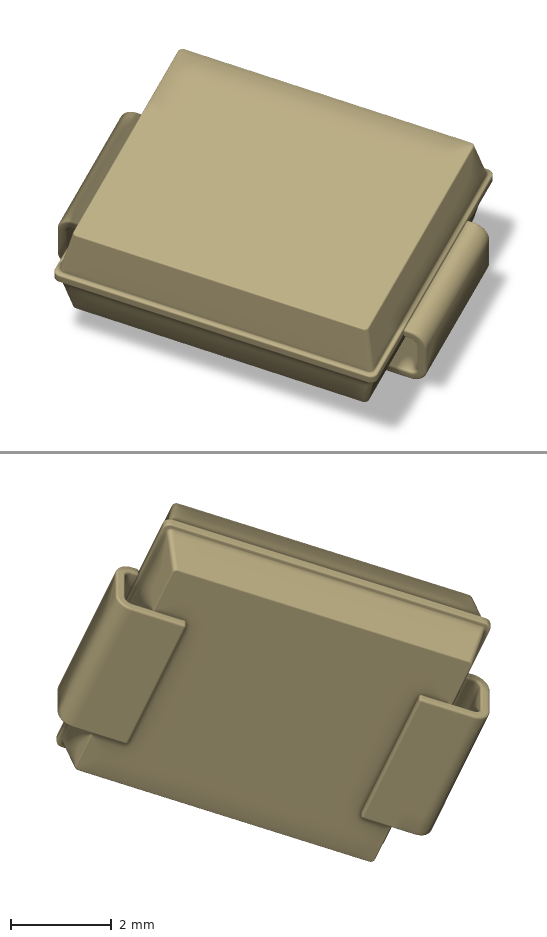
import cadquery as cq
import math

OVERALL_LENGTH = 8.0
OVERALL_HEIGHT = 2.4

STRIP_THICKNESS = 0.2
LEAD_WIDTH = 3.2
PAD_LENGTH = 1.5
BEND_OUTER_RADIUS = 0.35
BEND_INNER_RADIUS = BEND_OUTER_RADIUS - STRIP_THICKNESS
LEAD_EDGE_RADIUS = 0.05

FLANGE_LENGTH = 7.0
FLANGE_WIDTH = 6.0
FLANGE_THICKNESS = STRIP_THICKNESS
FLANGE_CORNER_RADIUS = 0.15
BASE_LENGTH = 6.8
BASE_WIDTH = BASE_LENGTH - (FLANGE_LENGTH - FLANGE_WIDTH)
DRAFT_RUN = 0.2
SIDE_EDGE_RADIUS = 0.1
SMALL_RADIUS = 0.03

HOUSING_BOTTOM = STRIP_THICKNESS
PARTING_HEIGHT = (HOUSING_BOTTOM + OVERALL_HEIGHT) / 2
FLANGE_BOTTOM = PARTING_HEIGHT - FLANGE_THICKNESS / 2
FLANGE_TOP = PARTING_HEIGHT + FLANGE_THICKNESS / 2
HALF_HEIGHT = OVERALL_HEIGHT - FLANGE_TOP
DRAFT_ANGLE = math.degrees(math.atan(DRAFT_RUN / HALF_HEIGHT))

SELECTION_MARGIN = 0.01


def box_around(x_range, y_range, z_range):
    """Selector for edges whose centers lie in the given ranges."""
    low, high = zip(x_range, y_range, z_range)
    return cq.selectors.BoxSelector(
        tuple(value - SELECTION_MARGIN for value in low),
        tuple(value + SELECTION_MARGIN for value in high),
    )


def make_flange():
    return (
        cq.Workplane("XY", origin=(0, 0, FLANGE_BOTTOM))
        .rect(FLANGE_LENGTH, FLANGE_WIDTH)
        .extrude(FLANGE_THICKNESS)
        .edges("|Z")
        .fillet(FLANGE_CORNER_RADIUS)
        .faces("<Z or >Z")
        .edges()
        .fillet(SMALL_RADIUS)
    )


def make_upper_half():
    """Tapered block standing on the flange, with rounded side edges and rim."""
    return (
        cq.Workplane("XY", origin=(0, 0, FLANGE_TOP))
        .rect(BASE_LENGTH, BASE_WIDTH)
        .extrude(HALF_HEIGHT, taper=DRAFT_ANGLE)
        .edges("not #Z")
        .fillet(SIDE_EDGE_RADIUS)
        .faces(">Z")
        .edges()
        .fillet(SMALL_RADIUS)
    )


def round_root(body, height):
    """Round the inner corner where a tapered half meets the flange at this height."""
    root = box_around(
        (-BASE_LENGTH / 2, BASE_LENGTH / 2),
        (-BASE_WIDTH / 2, BASE_WIDTH / 2),
        (height, height),
    )
    return body.edges(root).fillet(SMALL_RADIUS)


def make_housing():
    upper_half = make_upper_half()
    lower_half = upper_half.mirror("XY", (0, 0, PARTING_HEIGHT))
    body = make_flange().union(upper_half).union(lower_half)
    for height in (FLANGE_BOTTOM, FLANGE_TOP):
        body = round_root(body, height)
    return body


def make_lead():
    """Lead on the -X side, with all its outer edges rounded."""
    outer_x = -OVERALL_LENGTH / 2
    inner_x = outer_x + STRIP_THICKNESS
    bend_x = outer_x + BEND_OUTER_RADIUS
    pad_end_x = outer_x + PAD_LENGTH
    flange_x = -FLANGE_LENGTH / 2
    strip = (
        cq.Workplane("XZ", origin=(0, LEAD_WIDTH / 2, 0))
        .moveTo(flange_x, FLANGE_TOP)
        .lineTo(bend_x, FLANGE_TOP)
        .radiusArc((outer_x, FLANGE_TOP - BEND_OUTER_RADIUS), -BEND_OUTER_RADIUS)
        .lineTo(outer_x, BEND_OUTER_RADIUS)
        .radiusArc((bend_x, 0), -BEND_OUTER_RADIUS)
        .lineTo(pad_end_x, 0)
        .lineTo(pad_end_x, STRIP_THICKNESS)
        .lineTo(bend_x, STRIP_THICKNESS)
        .radiusArc((inner_x, BEND_OUTER_RADIUS), BEND_INNER_RADIUS)
        .lineTo(inner_x, FLANGE_TOP - BEND_OUTER_RADIUS)
        .radiusArc((bend_x, FLANGE_BOTTOM), BEND_INNER_RADIUS)
        .lineTo(flange_x, FLANGE_BOTTOM)
        .close()
        .extrude(LEAD_WIDTH)
    )
    sides_and_pad_end = strip.faces("<Y or >Y or >X").edges()
    flange_end = box_around(
        (flange_x, flange_x),
        (-LEAD_WIDTH / 2, LEAD_WIDTH / 2),
        (FLANGE_BOTTOM, FLANGE_TOP),
    )
    return sides_and_pad_end.add(strip.edges(flange_end)).fillet(LEAD_EDGE_RADIUS)


housing = make_housing()
leads = [make_lead().rotate((0, 0, 0), (0, 0, 1), turn) for turn in (0, 180)]

result = cq.Compound.makeCompound([housing.val(), *[lead.val() for lead in leads]])